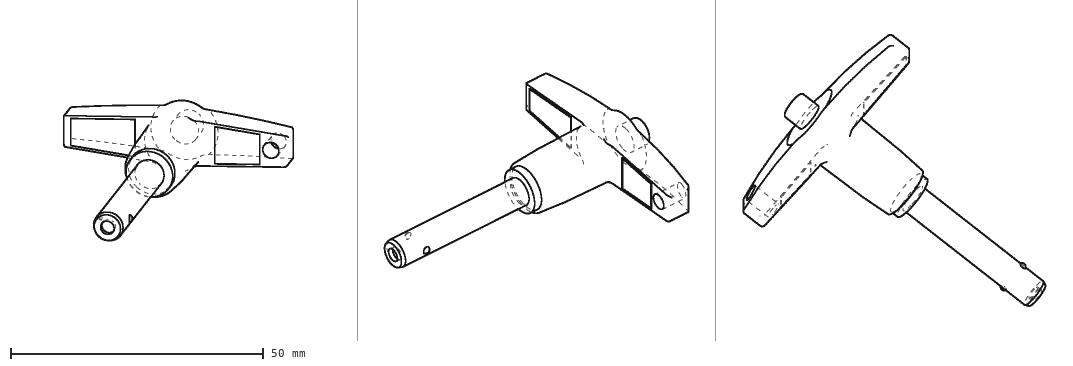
import cadquery as cq
import math


tip_y = -32.0
ball_y = -25.9
sleeve_end_y = 1.75
sleeve_joint_y = 7.95
hub_front_y = 18.75
wing_front_y = 19.5
handle_back_y = 26.5
button_end_y = 30.7

shank_radius = 3.0
shank_chamfer_length = 0.8
shank_chamfer_depth = 0.3
spindle_hole_radius = 2.77 / 2
spindle_hole_depth = 1.0
button_radius = 5.8 / 2
button_fillet = 0.4
collar_radius = 9.52 / 2
sleeve_root_radius = 6.12
sleeve_joint_radius = 5.92
sleeve_end_radius = 5.5
sleeve_end_fillet = 0.2
hub_radius = 12.35 / 2

ball_radius = 0.8
ball_reach = 3.5

handle_span = 45.96
half_span = handle_span / 2
wing_center_half_height = 5.1
wing_tip_half_height = 3.26
wing_taper = (wing_center_half_height - wing_tip_half_height) / half_span
back_arc_start_x = 4.6
back_arc_drop = 1.85
hub_blend_radius = 2.1
wing_tip_side_fillet = 0.6
wing_tip_plan_fillet = 0.85
lanyard_hole_radius = 3.3 / 2
lanyard_hole_x = 19.6

pad_height = 0.15
pad_margin = 0.55
pad_inner_x = 8.15
left_pad_outer_x = 21.3
right_pad_outer_x = 17.35


def wing_half_height(x):
    """Half height (Z) of the tapered wing at distance abs(x) from the pin axis."""
    return wing_center_half_height - wing_taper * abs(x)


def cylinder_along_y(radius, y_start, y_end):
    """Solid cylinder on the pin axis between two stations."""
    plane = cq.Workplane("XZ", origin=(0, y_start, 0))
    return plane.circle(radius).extrude(y_start - y_end)


def revolve_about_pin(profile):
    """Full turn of a closed radius/Y profile about the pin axis."""
    return profile.close().revolve(360, (0, 0, 0), (0, 1, 0))


def make_handle_section():
    """Tapered wings blended into the round hub, constant along the pin axis."""
    length = handle_back_y - hub_front_y
    wings = (
        cq.Workplane("XZ", origin=(0, handle_back_y, 0))
        .moveTo(-half_span, -wing_tip_half_height)
        .lineTo(0, -wing_center_half_height)
        .lineTo(half_span, -wing_tip_half_height)
        .lineTo(half_span, wing_tip_half_height)
        .lineTo(0, wing_center_half_height)
        .lineTo(-half_span, wing_tip_half_height)
        .close()
        .extrude(length)
    )
    section = wings.union(cylinder_along_y(hub_radius, hub_front_y, handle_back_y))
    hub_seams = cq.selectors.BoxSelector(
        (-hub_radius, hub_front_y, -hub_radius), (hub_radius, handle_back_y, hub_radius)
    )
    section = section.edges("|Y").edges(hub_seams).fillet(hub_blend_radius)
    return section.faces("<X or >X").edges("|Y").fillet(wing_tip_side_fillet)


def make_wing_plan():
    """Wing outline in plan: flat front, back edge curving forward to the tips."""
    run = half_span - back_arc_start_x
    arc_radius = (run**2 + back_arc_drop**2) / (2 * back_arc_drop)
    half_angle = math.asin(run / arc_radius) / 2
    mid_x = back_arc_start_x + arc_radius * math.sin(half_angle)
    mid_y = handle_back_y - arc_radius * (1 - math.cos(half_angle))
    tip_back_y = handle_back_y - back_arc_drop
    plan = (
        cq.Workplane("XY", origin=(0, 0, -hub_radius))
        .moveTo(-half_span, wing_front_y)
        .lineTo(half_span, wing_front_y)
        .lineTo(half_span, tip_back_y)
        .threePointArc((mid_x, mid_y), (back_arc_start_x, handle_back_y))
        .lineTo(-back_arc_start_x, handle_back_y)
        .threePointArc((-mid_x, mid_y), (-half_span, tip_back_y))
        .close()
        .extrude(2 * hub_radius)
    )
    return plan.faces("<X or >X").edges("|Z").fillet(wing_tip_plan_fillet)


def make_root_ring():
    """Ring with a concave quarter-round from the sleeve out to the wing front."""
    round_radius = wing_front_y - hub_front_y
    outer_radius = sleeve_root_radius + round_radius
    sag = round_radius * (1 - math.sqrt(0.5))
    profile = (
        cq.Workplane("XY")
        .moveTo(0, hub_front_y)
        .lineTo(sleeve_root_radius, hub_front_y)
        .threePointArc(
            (sleeve_root_radius + sag, wing_front_y - sag),
            (outer_radius, wing_front_y),
        )
        .lineTo(outer_radius, handle_back_y)
        .lineTo(0, handle_back_y)
    )
    return revolve_about_pin(profile)


def make_pad(side, outer_x):
    """Raised pad following the wing taper; side is -1 for left, +1 for right."""
    inner_half = wing_half_height(pad_inner_x) - pad_margin
    outer_half = wing_half_height(outer_x) - pad_margin
    corners = [
        (side * pad_inner_x, -inner_half),
        (side * outer_x, -outer_half),
        (side * outer_x, outer_half),
        (side * pad_inner_x, inner_half),
    ]
    plane = cq.Workplane("XZ", origin=(0, wing_front_y, 0))
    return plane.polyline(corners).close().extrude(pad_height)


def make_handle():
    section = make_handle_section()
    wings = section.intersect(make_wing_plan())
    handle = wings.union(section.intersect(make_root_ring()))
    handle = handle.union(make_pad(-1, left_pad_outer_x))
    handle = handle.union(make_pad(1, right_pad_outer_x))
    lanyard_hole = (
        cq.Workplane("XZ", origin=(lanyard_hole_x, handle_back_y, 0))
        .circle(lanyard_hole_radius)
        .extrude(handle_back_y - hub_front_y)
    )
    return handle.cut(lanyard_hole)


def make_sleeve():
    """Sleeve in front of the handle: a slight taper, then a steeper one."""
    profile = (
        cq.Workplane("XY")
        .moveTo(0, hub_front_y)
        .lineTo(sleeve_root_radius, hub_front_y)
        .lineTo(sleeve_joint_radius, sleeve_joint_y)
        .lineTo(sleeve_end_radius, sleeve_end_y)
        .lineTo(0, sleeve_end_y)
    )
    return revolve_about_pin(profile).faces("<Y").edges().fillet(sleeve_end_fillet)


def make_shank():
    """Shank with a chamfered tip and a blind spindle hole."""
    profile = (
        cq.Workplane("XY")
        .moveTo(0, tip_y)
        .lineTo(shank_radius - shank_chamfer_depth, tip_y)
        .lineTo(shank_radius, tip_y + shank_chamfer_length)
        .lineTo(shank_radius, sleeve_end_y)
        .lineTo(0, sleeve_end_y)
    )
    spindle_hole = cylinder_along_y(spindle_hole_radius, tip_y, tip_y + spindle_hole_depth)
    return revolve_about_pin(profile).cut(spindle_hole)


def make_button():
    button = cylinder_along_y(button_radius, handle_back_y, button_end_y)
    return button.faces(">Y").edges().fillet(button_fillet)


def make_ball(side):
    """Locking ball standing out of the shank; side is -1 or +1."""
    ball_x = side * (ball_reach - ball_radius)
    return cq.Workplane("XY", origin=(ball_x, ball_y, 0)).sphere(ball_radius)


result = make_handle().union(make_sleeve())
result = result.union(cylinder_along_y(collar_radius, 0, sleeve_end_y))
result = result.union(make_shank())
result = result.union(make_button())
for ball_side in (-1, 1):
    result = result.union(make_ball(ball_side))